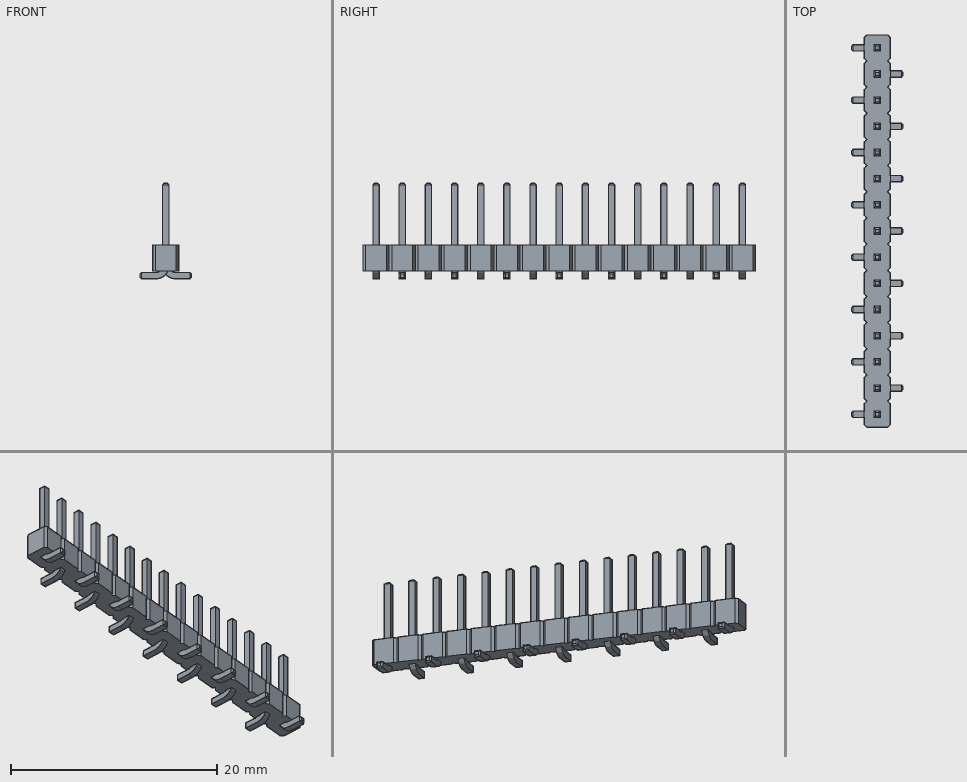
import cadquery as cq
import math

pin_count = 15
pitch = 2.54
body_width = 2.54
body_height = 2.54
notch_depth = 0.254
pin_side = 0.64
tip_chamfer = 0.16
overall_width = 5.0
overall_height = 9.3
pin_exposed = 6.0
bend_inner_radius = pin_side

body_length = pin_count * pitch
body_top = overall_height - pin_exposed
body_bottom = body_top - body_height
half_pin = pin_side / 2
half_width = body_width / 2
foot_reach = overall_width / 2
bend_outer_radius = bend_inner_radius + pin_side
bend_center_x = half_pin - bend_outer_radius
bend_center_z = bend_outer_radius


def bend_midpoint(radius):
    """Middle point of the quarter bend between the foot and the upright wire."""
    offset = radius * math.sqrt(0.5)
    return (bend_center_x + offset, bend_center_z - offset)


def make_notch(x_side, y):
    """Vertical V-groove cutter in one long side of the body; at an end it bevels the corner."""
    edge_x = x_side * half_width
    root_x = x_side * (half_width - notch_depth)
    return (
        cq.Workplane("XY", origin=(0, 0, body_bottom))
        .polyline([(edge_x, y - notch_depth), (root_x, y), (edge_x, y + notch_depth)])
        .close()
        .extrude(body_height)
    )


def make_body():
    """Insulator bar with bevelled corners and V-grooves between the positions."""
    body = cq.Workplane("XY", origin=(0, 0, body_bottom)).box(
        body_width, body_length, body_height, centered=(True, True, False)
    )
    for x_side in (-1, 1):
        for index in range(pin_count + 1):
            body = body.cut(make_notch(x_side, index * pitch - body_length / 2))
    return body


def make_pin():
    """Square wire bent into a foot towards -X, with bevelled ends, centred on Y = 0."""
    pin = (
        cq.Workplane("XZ", origin=(0, half_pin, 0))
        .moveTo(-foot_reach, 0)
        .lineTo(bend_center_x, 0)
        .threePointArc(bend_midpoint(bend_outer_radius), (half_pin, bend_center_z))
        .lineTo(half_pin, overall_height)
        .lineTo(-half_pin, overall_height)
        .lineTo(-half_pin, bend_center_z)
        .threePointArc(bend_midpoint(bend_inner_radius), (bend_center_x, pin_side))
        .lineTo(-foot_reach, pin_side)
        .close()
        .extrude(pin_side)
    )
    pin = pin.faces(">Z").chamfer(tip_chamfer)
    return pin.faces("<X").chamfer(tip_chamfer)


left_pin = make_pin()
right_pin = left_pin.rotate((0, 0, 0), (0, 0, 1), 180)

result = make_body()
for index in range(pin_count):
    pin = left_pin if index % 2 == 0 else right_pin
    pin_y = (index + 0.5) * pitch - body_length / 2
    result = result.union(pin.translate((0, pin_y, 0)))